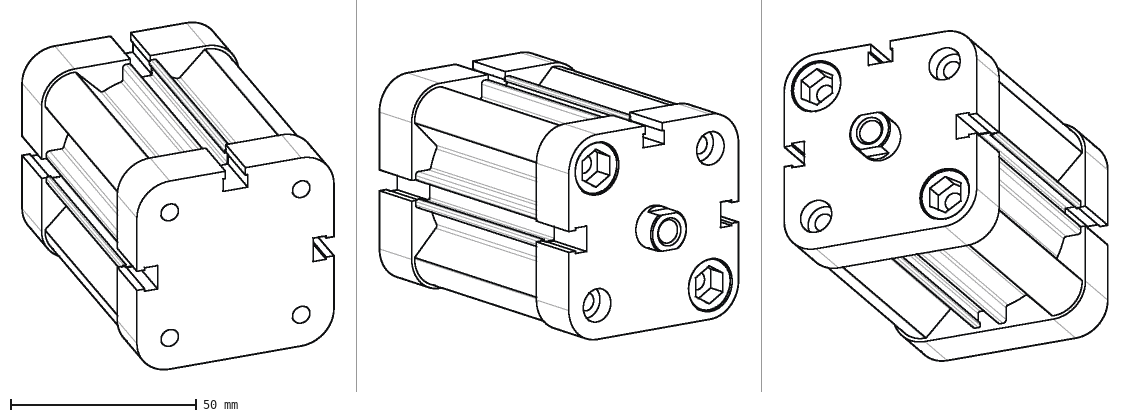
import cadquery as cq
import math


overall_length = 93.0
cap_length = 14.7
rod_projection = 7.1
barrel_length = overall_length - rod_projection - 2 * cap_length
barrel_start = cap_length
barrel_middle = barrel_start + barrel_length / 2
end_cap_start = barrel_start + barrel_length

cap_width = 57.0
cap_half = cap_width / 2
cap_corner_radius = 9.5
bolt_offset = cap_half - cap_corner_radius

bolt_bore_diameter = 5.0
recess_diameter = 9.2
recess_depth = 4.9
hex_across_flats = 9.1
hex_depth = 6.0
head_seat_diameter = 14.6
head_diameter = 14.0
head_sink = 0.5
head_gap_depth = 0.9

slot_floor = 22.5
cap_throat_half = 2.9
cap_slot_half = 3.5
cap_lip_bottom = 26.2

barrel_half = 27.5
lobe_radius = barrel_half - bolt_offset
flute_mouth_half = 18.7
flute_floor_radius = 22.8
flute_fillet = 0.9
rail_half = 5.0
rail_top = 27.2
rail_edge_radius = 0.9
rail_base_fillet = 0.7
rail_throat_half = 2.6
rail_slot_half = 3.3
rail_lip_bottom = 25.95
rail_mouth_radius = 0.6
rail_slot_fillet = 0.6

rod_diameter = 12.0
rod_radius = rod_diameter / 2
rod_chamfer = 0.4
rod_across_flats = 10.0
rod_flat_length = 5.2
rod_flat_runout_angle = 30.0
rod_hole_diameter = 6.4
rod_hole_mouth_diameter = 7.7
rod_hole_depth = 12.1
drill_point_angle = 118.0

quarter_turns = (0, 90, 180, 270)
slotted_cap_sides = (0, 90, 270)
bolt_axes = [(y, z) for y in (-bolt_offset, bolt_offset) for z in (-bolt_offset, bolt_offset)]
screw_axes = [(y, z) for y, z in bolt_axes if y * z > 0]
recess_axes = [(y, z) for y, z in bolt_axes if y * z < 0]


def section(x):
    """Workplane across the axis at x, with local axes along +Y and +Z."""
    return cq.Workplane("YZ", origin=(x, 0, 0))


def turned(shape, angle):
    """Copy of a shape turned about the cylinder axis."""
    return shape.rotate((0, 0, 0), (1, 0, 0), angle)


def rounded_square(x, half, corner_radius, length):
    """Square bar with rounded corners, centred on the axis."""
    return section(x).rect(2 * half, 2 * half).extrude(length).edges("|X").fillet(corner_radius)


def bolt_bores(x, length):
    """Four small bores on the bolt axes."""
    return section(x).pushPoints(bolt_axes).circle(bolt_bore_diameter / 2).extrude(length)


def mirrored_slot(x, right_side, length):
    """Lengthwise slot from the outline of its +Y side, mirrored about the XZ plane."""
    left_side = [(-y, z) for y, z in reversed(right_side)]
    return section(x).polyline(right_side + left_side).close().extrude(length)


def cap_slot(x):
    """Slot through the +Z side of a cap, narrower at its mouth."""
    right_side = [
        (cap_slot_half, slot_floor),
        (cap_slot_half, cap_lip_bottom),
        (cap_throat_half, cap_lip_bottom),
        (cap_throat_half, cap_half),
    ]
    return mirrored_slot(x, right_side, cap_length)


def make_cap(x):
    """Square cap with three sensor slots and four bolt bores."""
    cap = rounded_square(x, cap_half, cap_corner_radius, cap_length)
    for angle in slotted_cap_sides:
        cap = cap.cut(turned(cap_slot(x), angle))
    return cap.cut(bolt_bores(x, cap_length))


def make_bearing_cap():
    """Front cap with the rod bore, two sunk round heads with hexagon sockets and two round recesses."""
    cap = make_cap(0)
    rod_bore = section(0).circle(rod_radius).extrude(cap_length)
    recesses = section(0).pushPoints(recess_axes).circle(recess_diameter / 2).extrude(recess_depth)
    cap = cap.cut(rod_bore).cut(recesses)

    hex_corner_diameter = hex_across_flats / math.cos(math.radians(30))
    for y, z in screw_axes:
        socket = section(0).polygon(6, hex_corner_diameter).extrude(hex_depth)
        socket = turned(socket, 90).translate((0, y, z))
        seat = section(0).center(y, z).circle(head_seat_diameter / 2).extrude(head_gap_depth)
        head = section(head_sink).center(y, z).circle(head_diameter / 2).extrude(head_gap_depth)
        cap = cap.cut(seat.cut(head)).cut(socket)
    return cap


def flute():
    """Channel between two lobes on the +Z side, with 45 degree walls down to the round core."""
    apex_height = barrel_half - flute_mouth_half
    wedge = section(barrel_start).polyline(
        [(-flute_mouth_half, barrel_half), (flute_mouth_half, barrel_half), (0, apex_height)]
    )
    wedge = wedge.close().extrude(barrel_length)
    core = section(barrel_start).circle(flute_floor_radius).extrude(barrel_length)
    return wedge.cut(core)


def rail():
    """Bar on the +Z side that carries the sensor slot, with rounded outer edges."""
    bar = section(barrel_start).center(0, rail_top / 2).rect(2 * rail_half, rail_top)
    return bar.extrude(barrel_length).edges("|X and >Z").fillet(rail_edge_radius)


def rail_slot():
    """Slot in the +Z rail, narrowed by lips with slanted undersides."""
    lip_overhang = rail_slot_half - rail_throat_half
    right_side = [
        (rail_slot_half, slot_floor),
        (rail_slot_half, rail_lip_bottom + lip_overhang),
        (rail_throat_half, rail_lip_bottom),
        (rail_throat_half, rail_top),
    ]
    return mirrored_slot(barrel_start, right_side, barrel_length)


def edges_on_all_sides(barrel, offset, height):
    """Lengthwise edges at +/- offset and at a height above the axis, on each of the four sides."""
    edges = barrel.newObject([])
    for y in (-offset, offset):
        for across, up in ((y, height), (height, y), (y, -height), (-height, y)):
            place = cq.NearestToPointSelector((barrel_middle, across, up))
            edges = edges.add(barrel.edges(place))
    return edges


def make_barrel():
    """Extruded barrel with corner lobes, flutes, slotted rails and bolt bores."""
    barrel = rounded_square(barrel_start, barrel_half, lobe_radius, barrel_length)
    for angle in quarter_turns:
        barrel = barrel.cut(turned(flute(), angle)).union(turned(rail(), angle))
    for angle in quarter_turns:
        barrel = barrel.cut(turned(rail_slot(), angle))

    wall_rise = barrel_half - flute_mouth_half
    wall_foot_offset = (math.sqrt(2 * flute_floor_radius**2 - wall_rise**2) - wall_rise) / 2
    rail_foot_height = math.sqrt(flute_floor_radius**2 - rail_half**2)
    rounded_edges = [
        (wall_foot_offset, wall_foot_offset + wall_rise, flute_fillet),
        (rail_half, rail_foot_height, rail_base_fillet),
        (rail_throat_half, rail_top, rail_mouth_radius),
        (rail_slot_half, slot_floor, rail_slot_fillet),
    ]
    for offset, height, radius in rounded_edges:
        barrel = edges_on_all_sides(barrel, offset, height).fillet(radius)
    return barrel.cut(bolt_bores(barrel_start, barrel_length))


def rod_flat():
    """Cutter for the flat on the +Z side of the rod tip, with a slanted run-out."""
    flat_height = rod_across_flats / 2
    flat_end = rod_flat_length - rod_projection
    runout = (rod_radius - flat_height) * math.tan(math.radians(rod_flat_runout_angle))
    cutter = cq.Workplane("XZ").polyline(
        [
            (-rod_projection, flat_height),
            (flat_end, flat_height),
            (flat_end + runout, rod_radius),
            (-rod_projection, rod_radius),
        ]
    )
    return cutter.close().extrude(rod_radius, both=True)


def rod_hole():
    """Blind drilled hole in the rod tip with a 45 degree mouth chamfer and a conical bottom."""
    hole_radius = rod_hole_diameter / 2
    mouth_radius = rod_hole_mouth_diameter / 2
    mouth_depth = mouth_radius - hole_radius
    point_length = hole_radius / math.tan(math.radians(drill_point_angle / 2))
    half_profile = cq.Workplane("XY", origin=(-rod_projection, 0, 0)).polyline(
        [
            (0, 0),
            (0, mouth_radius),
            (mouth_depth, hole_radius),
            (rod_hole_depth, hole_radius),
            (rod_hole_depth + point_length, 0),
        ]
    )
    return half_profile.close().revolve(360, (0, 0, 0), (1, 0, 0))


def make_rod():
    """Round rod seated in the bearing cap, with two flats and a drilled hole at its tip."""
    rod = section(-rod_projection).circle(rod_radius).extrude(rod_projection + cap_length)
    rod = rod.faces("<X").chamfer(rod_chamfer)
    for angle in (0, 180):
        rod = rod.cut(turned(rod_flat(), angle))
    return rod.cut(rod_hole())


bearing_cap = make_bearing_cap()
barrel = make_barrel()
end_cap = make_cap(end_cap_start)
rod = make_rod()

result = cq.Compound.makeCompound([bearing_cap.val(), barrel.val(), end_cap.val(), rod.val()])